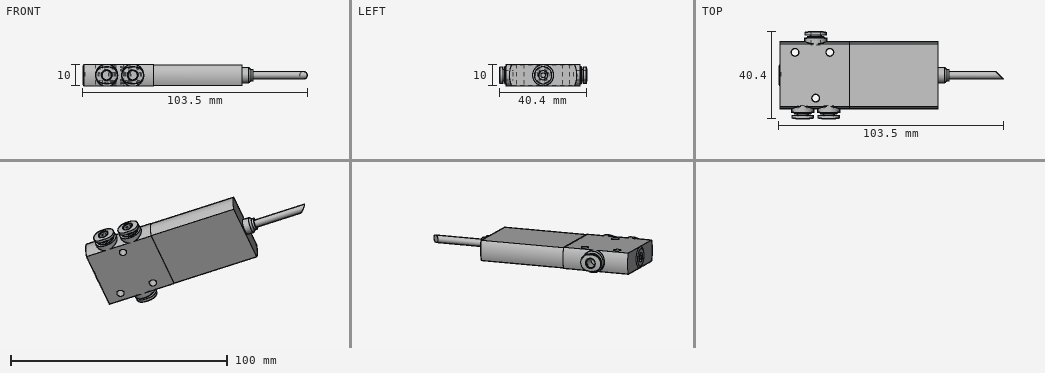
import cadquery as cq


TOTAL_LENGTH = 103.5
BLOCK_START = 0.4
BLOCK_END = 32.5
HOUSING_END = 73.4
BLOCK_HEIGHT = 10.0
HOUSING_HEIGHT = 9.6
BODY_WIDTH = 31.0
FLAT_WIDTH = 29.0

MOUNT_HOLE_DIAMETER = 3.4
MOUNT_HOLE_Y = 10.6
FIRST_MOUNT_HOLE_X = 7.5
MOUNT_HOLE_PITCH = 16.0

FITTING_PITCH = 12.0
FRONT_FITTING_X = 11.0
BACK_FITTING_X = FRONT_FITTING_X + FITTING_PITCH / 2
FITTING_ROOT = 12.4
COLLAR_END = 17.1
RING_END = 17.9
BUTTON_START = 18.5
BUTTON_END = 20.2
COLLAR_DIAMETER = 10.2
RING_DIAMETER = 8.1
RING_TIP_DIAMETER = 7.0
NECK_DIAMETER = 5.4
BUTTON_WIDTH = 9.9
BUTTON_HEIGHT = 7.8
BUTTON_FACE_DROP = 0.4
BORE_DIAMETER = 4.2
BORE_CHAMFER = 0.3
BORE_FLOOR = 14.0

MOUNT_HOLES = [
    (FIRST_MOUNT_HOLE_X, MOUNT_HOLE_Y),
    (FIRST_MOUNT_HOLE_X + MOUNT_HOLE_PITCH, MOUNT_HOLE_Y),
    (BACK_FITTING_X, -MOUNT_HOLE_Y),
]

PLUG_DIAMETER = 9.7
PLUG_FACE_DIAMETER = 8.0
PLUG_RECESS_DIAMETER = 4.2
PLUG_PIN_DIAMETER = 2.2
PLUG_RECESS_DEPTH = 1.0
PLUG_ROOT = 2.1

GLAND_DIAMETER = 7.2
GLAND_SHOULDER_X = 76.4
GLAND_NOSE_DIAMETER = 5.4
GLAND_NOSE_X = 77.4
GLAND_END = 78.5
CABLE_DIAMETER = 3.5


def bulged_bar(start, end, height):
    """Bar along X with flat top and bottom and outward-curved long sides."""
    half_flat = FLAT_WIDTH / 2
    half_width = BODY_WIDTH / 2
    half_height = height / 2
    return (
        cq.Workplane("YZ", origin=(start, 0, 0))
        .moveTo(-half_flat, -half_height)
        .lineTo(half_flat, -half_height)
        .threePointArc((half_width, 0), (half_flat, half_height))
        .lineTo(-half_flat, half_height)
        .threePointArc((-half_width, 0), (-half_flat, -half_height))
        .close()
        .extrude(end - start)
    )


def turned_along_x(profile):
    """Revolve (x, radius) points, closed along the X axis."""
    outline = [(profile[0][0], 0)] + profile + [(profile[-1][0], 0)]
    return cq.Workplane("XY").polyline(outline).close().revolve(360, (0, 0), (1, 0))


def turned_along_y(profile):
    """Revolve (radius, y) points, closed along the Y axis."""
    outline = [(0, profile[0][1])] + profile + [(0, profile[-1][1])]
    return cq.Workplane("XY").polyline(outline).close().revolve(360, (0, 0), (0, 1))


def place_fitting(shape, x, side):
    """Move a +Y facing shape to x, turned round when side is -1."""
    turn = 0 if side > 0 else 180
    return shape.rotate((0, 0, 0), (0, 0, 1), turn).translate((x, 0, 0))


def fitting():
    """Flat-sided collar, ring, neck and rounded oblong release button, facing +Y."""
    collar = turned_along_y([
        (COLLAR_DIAMETER / 2, FITTING_ROOT),
        (COLLAR_DIAMETER / 2, COLLAR_END),
    ])
    ring_and_neck = turned_along_y([
        (RING_DIAMETER / 2, FITTING_ROOT),
        (RING_DIAMETER / 2, (COLLAR_END + RING_END) / 2),
        (RING_TIP_DIAMETER / 2, RING_END),
        (NECK_DIAMETER / 2, RING_END),
        (NECK_DIAMETER / 2, (BUTTON_START + BUTTON_END) / 2),
    ])
    button_cone = turned_along_y([
        (BUTTON_WIDTH / 2, BUTTON_START),
        (BUTTON_WIDTH / 2, BUTTON_END - BUTTON_FACE_DROP),
        (BORE_DIAMETER / 2 + BORE_CHAMFER, BUTTON_END),
    ])
    button_outline = (
        cq.Workplane("XZ")
        .slot2D(BUTTON_WIDTH, BUTTON_HEIGHT)
        .extrude(-BUTTON_END)
    )
    button = button_cone.intersect(button_outline)
    collar = collar.intersect(cq.Workplane("XY").box(TOTAL_LENGTH, TOTAL_LENGTH, BLOCK_HEIGHT))
    return collar.union(ring_and_neck).union(button)


def fitting_bore():
    """Blind tube bore with a chamfered mouth, facing +Y."""
    return turned_along_y([
        (BORE_DIAMETER / 2, BORE_FLOOR),
        (BORE_DIAMETER / 2, BUTTON_END - BORE_CHAMFER),
        (BORE_DIAMETER / 2 + BORE_CHAMFER, BUTTON_END),
    ])


def end_plug():
    """Low conical disc on the front end of the block."""
    return turned_along_x([
        (0, PLUG_FACE_DIAMETER / 2),
        (BLOCK_START, PLUG_DIAMETER / 2),
        (PLUG_ROOT, PLUG_DIAMETER / 2),
    ])


def plug_recess():
    """Ring-shaped recess that leaves a pin in the centre of the plug."""
    return (
        cq.Workplane("YZ")
        .circle(PLUG_RECESS_DIAMETER / 2)
        .circle(PLUG_PIN_DIAMETER / 2)
        .extrude(PLUG_RECESS_DEPTH)
    )


def cable_gland():
    """Stepped round gland with a conical shoulder on the end of the housing."""
    return turned_along_x([
        (HOUSING_END, GLAND_DIAMETER / 2),
        (GLAND_SHOULDER_X, GLAND_DIAMETER / 2),
        (GLAND_NOSE_X, GLAND_NOSE_DIAMETER / 2),
        (GLAND_END, GLAND_NOSE_DIAMETER / 2),
    ])


def cable():
    """Cable cut off at 45 degrees, longest on its -Y side."""
    radius = CABLE_DIAMETER / 2
    rod = (
        cq.Workplane("YZ", origin=(HOUSING_END, 0, 0))
        .circle(radius)
        .extrude(TOTAL_LENGTH - HOUSING_END)
    )
    offcut = (
        cq.Workplane("XY")
        .polyline([
            (TOTAL_LENGTH, -radius),
            (TOTAL_LENGTH, radius),
            (TOTAL_LENGTH - CABLE_DIAMETER, radius),
        ])
        .close()
        .extrude(CABLE_DIAMETER, both=True)
    )
    return rod.cut(offcut)


body = bulged_bar(BLOCK_START, BLOCK_END, BLOCK_HEIGHT)
body = body.union(bulged_bar(BLOCK_END, HOUSING_END, HOUSING_HEIGHT))
body = body.union(end_plug()).cut(plug_recess())
body = body.union(cable_gland()).union(cable())

fitting_places = [
    (FRONT_FITTING_X, -1),
    (FRONT_FITTING_X + FITTING_PITCH, -1),
    (BACK_FITTING_X, 1),
]
for x, side in fitting_places:
    body = body.union(place_fitting(fitting(), x, side))
    body = body.cut(place_fitting(fitting_bore(), x, side))

mount_holes = (
    cq.Workplane("XY")
    .pushPoints(MOUNT_HOLES)
    .circle(MOUNT_HOLE_DIAMETER / 2)
    .extrude(BLOCK_HEIGHT, both=True)
)
result = body.cut(mount_holes)